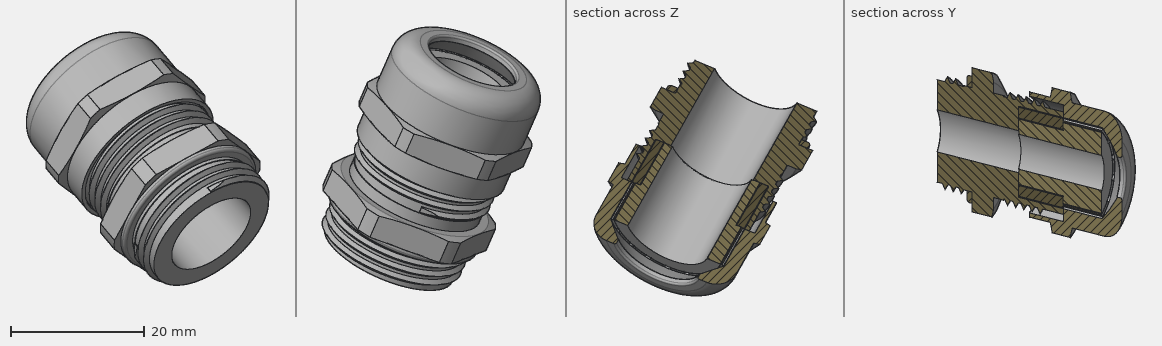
import cadquery as cq
import math

TOTAL_LENGTH = 34.25

ACROSS_FLATS = 24.0
HEX_BEVEL_DIAMETER = 23.9
HEX_BEVEL_ANGLE = 15.0

CAP_LENGTH = 17.2
CAP_DIAMETER = 23.9
CAP_FACE_DIAMETER = 17.22
CAP_DOME_RADIUS = (CAP_DIAMETER - CAP_FACE_DIAMETER) / 2
CAP_HEX_START = 9.25
CAP_HEX_END = 13.35
CAP_HEX_CORNERS = 26.65
LIP_DIAMETER = 14.2
LIP_ROUNDING = 0.3
LIP_END = 1.03
CONE_START_DIAMETER = 14.35
CONE_END = 3.75
CAP_THREAD_BORE = 22.63

BODY_HEX_START = 23.73
BODY_HEX_END = 27.8
BODY_HEX_CORNERS = 26.5
THREAD_ROOT_DIAMETER = 20.85
NECK_DIAMETER = 21.13
NECK_START = 21.95
NECK_END = 29.3
BODY_START = 10.95
BODY_BORE = 14.35
SEAT_DIAMETER = 19.35
SEAT_END = 19.17

PITCH = 1.5
THREAD_CREST_DIAMETER = 22.32
THREAD_FLANK_ANGLE = 35.0
THREAD_EMBED = 0.05
CAP_THREAD_END = 21.4
CAP_THREAD_TURNS = 4.75
ENTRY_THREAD_START = 29.55
ENTRY_THREAD_TURNS = 2.75
RUNOUT_STEP_DISTANCE = 1.8
RUNOUT_STEP_HEIGHT = 10.65
RUNOUT_CREST_DISTANCE = 2.9
RUNOUT_CREST_HEIGHT = 10.8
RUNOUT_OVERRUN = 0.35

INSERT_START = 3.75
STEP_X = 10.95
CAGE_DIAMETER = 19.2
CAGE_FINGER_BORE = 18.3
CAGE_RING_BORE = 16.65
FINGER_COUNT = 18
FIRST_SLOT_ANGLE = 10.0
SLOT_WIDTH = 0.85
SEAL_HEAD_DIAMETER = 18.2
SEAL_TAIL_DIAMETER = 16.55
SEAL_BORE = 13.85

GASKET_DIAMETER = 24.15
GASKET_END = 28.75
GASKET_ROUNDING = 0.48


def cylinder(diameter, start, end):
    """Solid cylinder on the X axis."""
    return cq.Workplane("YZ").workplane(offset=start).circle(diameter / 2).extrude(end - start)


def frustum(start_diameter, end_diameter, start, end):
    """Solid cone frustum on the X axis."""
    return (
        cq.Workplane("XY")
        .polyline([(start, 0), (start, start_diameter / 2), (end, end_diameter / 2), (end, 0)])
        .close()
        .revolve(360, (0, 0), (1, 0))
    )


def hexagon(start, end, corner_diameter, bevel_end):
    """Hexagon with flats at +Z and -Z, rounded corners and bevelled ends."""
    prism = (
        cq.Workplane("YZ")
        .workplane(offset=start)
        .polygon(6, ACROSS_FLATS / math.cos(math.pi / 6))
        .extrude(end - start)
    )
    bevel_depth = (corner_diameter - HEX_BEVEL_DIAMETER) / 2 * math.tan(math.radians(HEX_BEVEL_ANGLE))
    envelope = frustum(HEX_BEVEL_DIAMETER, corner_diameter, start, start + bevel_depth)
    if bevel_end:
        envelope = envelope.union(cylinder(corner_diameter, start + bevel_depth, end - bevel_depth))
        envelope = envelope.union(frustum(corner_diameter, HEX_BEVEL_DIAMETER, end - bevel_depth, end))
    else:
        envelope = envelope.union(cylinder(corner_diameter, start + bevel_depth, end))
    return prism.intersect(envelope)


def thread_ridge(turns):
    """Right-handed V ridge that starts on +Y at x = 0 and advances along +X."""
    root_radius = THREAD_ROOT_DIAMETER / 2 - THREAD_EMBED
    crest_radius = THREAD_CREST_DIAMETER / 2
    half_width = (crest_radius - root_radius) * math.tan(math.radians(THREAD_FLANK_ANGLE))
    path = cq.Wire.makeHelix(PITCH, turns * PITCH, root_radius)
    ridge = (
        cq.Workplane("XZ")
        .polyline([(root_radius, -half_width), (crest_radius, 0), (root_radius, half_width)])
        .close()
        .sweep(cq.Workplane(obj=path), isFrenet=True)
    )
    return ridge.rotate((0, 0, 0), (1, 1, 1), 120)


def runout_cutter(start, direction):
    """Block that slopes off a thread end on +Y; direction is +1 or -1 along Z."""
    outside = THREAD_CREST_DIAMETER
    past_end = -direction * RUNOUT_OVERRUN
    crest = direction * RUNOUT_CREST_DISTANCE
    outline = [
        (NECK_DIAMETER / 2, past_end),
        (NECK_DIAMETER / 2, 0),
        (RUNOUT_STEP_HEIGHT, direction * RUNOUT_STEP_DISTANCE),
        (RUNOUT_CREST_HEIGHT, crest),
        (outside, crest),
        (outside, past_end),
    ]
    section = cq.Workplane("YZ").workplane(offset=start - PITCH / 2)
    return section.polyline(outline).close().extrude(PITCH)


def external_thread(start, start_angle, turns):
    """Thread ridge with a run-out at both ends; the angle is measured from +Y towards +Z."""
    end_turn = 360 * turns
    end_cutter = runout_cutter(turns * PITCH, -1).rotate((0, 0, 0), (1, 0, 0), end_turn)
    ridge = thread_ridge(turns).cut(runout_cutter(0, 1)).cut(end_cutter)
    return ridge.rotate((0, 0, 0), (1, 0, 0), start_angle).translate((start, 0, 0))


def make_cap():
    shell = cylinder(CAP_DIAMETER, 0, CAP_LENGTH).faces("<X").edges().fillet(CAP_DOME_RADIUS)
    shell = shell.union(hexagon(CAP_HEX_START, CAP_HEX_END, CAP_HEX_CORNERS, True))
    shell = shell.cut(cylinder(LIP_DIAMETER, 0, LIP_END))
    lip_edge = cq.selectors.RadiusNthSelector(0)
    shell = shell.faces("<X").edges(lip_edge).fillet(LIP_ROUNDING)
    shell = shell.cut(frustum(CONE_START_DIAMETER, SEAT_DIAMETER, LIP_END, CONE_END))
    shell = shell.cut(cylinder(SEAT_DIAMETER, CONE_END, BODY_START))
    return shell.cut(cylinder(CAP_THREAD_BORE, BODY_START, CAP_LENGTH))


def make_body():
    body = cylinder(THREAD_ROOT_DIAMETER, BODY_START, TOTAL_LENGTH)
    body = body.union(cylinder(NECK_DIAMETER, NECK_START, NECK_END))
    body = body.union(hexagon(BODY_HEX_START, BODY_HEX_END, BODY_HEX_CORNERS, False))
    body = body.union(external_thread(CAP_THREAD_END - CAP_THREAD_TURNS * PITCH, 0, CAP_THREAD_TURNS))
    body = body.union(external_thread(ENTRY_THREAD_START, 180, ENTRY_THREAD_TURNS))
    body = body.cut(cylinder(SEAT_DIAMETER, BODY_START, SEAT_END))
    return body.cut(cylinder(BODY_BORE, SEAT_END, TOTAL_LENGTH))


def make_cage():
    cage = cylinder(CAGE_DIAMETER, INSERT_START, SEAT_END)
    cage = cage.cut(cylinder(CAGE_FINGER_BORE, INSERT_START, STEP_X))
    cage = cage.cut(cylinder(CAGE_RING_BORE, STEP_X, SEAT_END))
    slot_length = STEP_X - INSERT_START
    slot = (
        cq.Workplane("XY")
        .box(slot_length, CAGE_DIAMETER / 2, SLOT_WIDTH, centered=(False, False, True))
        .translate((INSERT_START, 0, 0))
    )
    for index in range(FINGER_COUNT):
        angle = FIRST_SLOT_ANGLE + index * 360 / FINGER_COUNT
        cage = cage.cut(slot.rotate((0, 0, 0), (1, 0, 0), angle))
    return cage


def make_seal():
    seal = cylinder(SEAL_HEAD_DIAMETER, INSERT_START, STEP_X)
    seal = seal.union(cylinder(SEAL_TAIL_DIAMETER, STEP_X, SEAT_END))
    return seal.cut(cylinder(SEAL_BORE, INSERT_START, SEAT_END))


def make_gasket():
    gasket = cylinder(GASKET_DIAMETER, BODY_HEX_END, GASKET_END)
    gasket = gasket.faces(">X").edges().fillet(GASKET_ROUNDING)
    return gasket.cut(cylinder(NECK_DIAMETER, BODY_HEX_END, GASKET_END))


cap = make_cap()
body = make_body()
cage = make_cage()
seal = make_seal()
gasket = make_gasket()

result = cq.Compound.makeCompound([cap.val(), body.val(), cage.val(), seal.val(), gasket.val()])